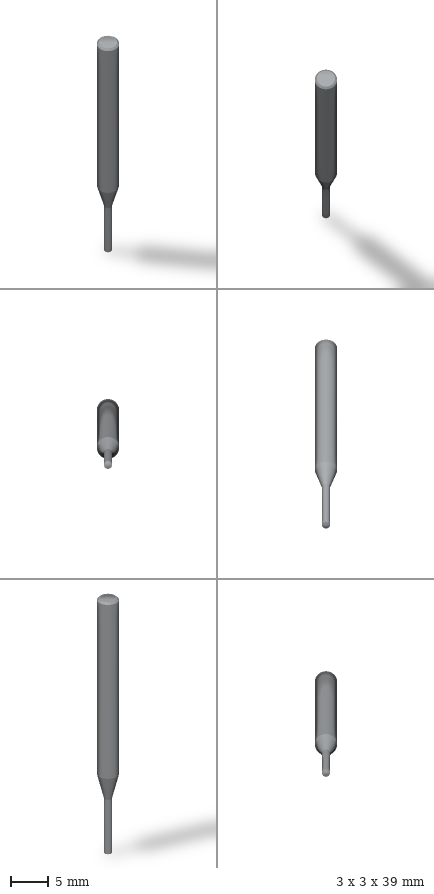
import cadquery as cq

TOTAL_LENGTH = 39.0
SHANK_DIAMETER = 3.0
SHANK_CHAMFER = 0.27

TAPER_TOP = 12.2
NECK_TOP = 8.5
CUTTER_TOP = 4.88

STEM_DIAMETER = 1.1
TIP_HEIGHT = 0.2


def revolve_profile(points):
    """Revolve a closed (radius, height) outline about Z."""
    return cq.Workplane("XZ").polyline(points).close().revolve(360, (0, 0, 0), (0, 1, 0))


def make_shank():
    """Chamfered shank that tapers down into a cylindrical neck."""
    shank_radius = SHANK_DIAMETER / 2
    neck_radius = STEM_DIAMETER / 2
    profile = [
        (0, CUTTER_TOP),
        (neck_radius, CUTTER_TOP),
        (neck_radius, NECK_TOP),
        (shank_radius, TAPER_TOP),
        (shank_radius, TOTAL_LENGTH - SHANK_CHAMFER),
        (shank_radius - SHANK_CHAMFER, TOTAL_LENGTH),
        (0, TOTAL_LENGTH),
    ]
    return revolve_profile(profile)


def make_cutter():
    """Cylindrical cutting end with a shallow conical point, butted against the neck."""
    cutter_radius = STEM_DIAMETER / 2
    profile = [
        (0, 0),
        (cutter_radius, TIP_HEIGHT),
        (cutter_radius, CUTTER_TOP),
        (0, CUTTER_TOP),
    ]
    return revolve_profile(profile)


shank = make_shank()
cutter = make_cutter()

result = cq.Compound.makeCompound([shank.val(), cutter.val()])